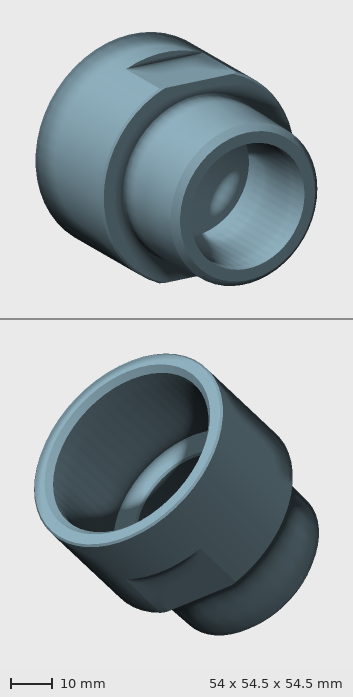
import cadquery as cq
import math

total_length = 54.0

body_diameter = 54.5
body_length = 31.4
body_chamfer = 0.5

flats_width = 50.0
flats_start = 15.4

bore_diameter = 44.84
bore_depth = 27.7
bore_mouth_diameter = 47.8

hole_diameter = 32.0
hole_chamfer = 0.5

spigot_diameter = 42.31
spigot_fillet = 0.4
taper_start = 34.9
taper_ratio = 1 / 16
tip_chamfer = 1.65

body_radius = body_diameter / 2
bore_radius = bore_diameter / 2
mouth_radius = bore_mouth_diameter / 2
hole_radius = hole_diameter / 2
spigot_radius = spigot_diameter / 2
taper_end = total_length - tip_chamfer
taper_end_radius = spigot_radius - (taper_end - taper_start) * taper_ratio / 2
mouth_depth = mouth_radius - bore_radius


def turned_body():
    """Half section in (axial, radial) coordinates, revolved about the X axis."""
    fillet_reach = spigot_fillet * (1 - math.sqrt(0.5))
    section = (
        cq.Workplane("XY")
        .moveTo(0, mouth_radius)
        .lineTo(0, body_radius - body_chamfer)
        .lineTo(body_chamfer, body_radius)
        .lineTo(body_length - body_chamfer, body_radius)
        .lineTo(body_length, body_radius - body_chamfer)
        .lineTo(body_length, spigot_radius + spigot_fillet)
        .threePointArc(
            (body_length + fillet_reach, spigot_radius + fillet_reach),
            (body_length + spigot_fillet, spigot_radius),
        )
        .lineTo(taper_start, spigot_radius)
        .lineTo(taper_end, taper_end_radius)
        .lineTo(total_length, taper_end_radius - tip_chamfer)
        .lineTo(total_length, hole_radius)
        .lineTo(bore_depth + hole_chamfer, hole_radius)
        .lineTo(bore_depth, hole_radius + hole_chamfer)
        .lineTo(bore_depth, bore_radius)
        .lineTo(mouth_depth, bore_radius)
        .close()
    )
    return section.revolve(360, (0, 0, 0), (1, 0, 0))


def flat_cutter(side):
    """Block outside one wrench flat; side is +1 for the top, -1 for the bottom."""
    height = body_radius
    length = body_length - flats_start
    center_x = flats_start + length / 2
    center_z = side * (flats_width / 2 + height / 2)
    return cq.Workplane("XY").box(length, body_diameter, height).translate((center_x, 0, center_z))


result = turned_body()
for side in (1, -1):
    result = result.cut(flat_cutter(side))